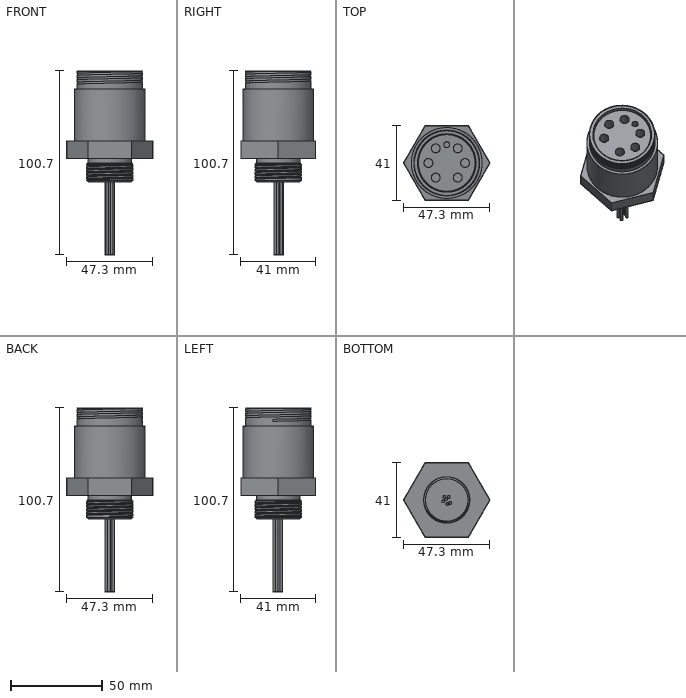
import cadquery as cq
import math

total_height = 100.7
collar_base = 90.8
hex_top = 62.4
hex_base = 52.8
thread_top = 50.5
stem_base = 39.9

collar_dia = 36.0
body_dia = 38.8
hex_across_corners = 47.3
neck_dia = 23.9
thread_dia = 25.3
thread_top_chamfer = (thread_dia - neck_dia) / 2
thread_end_chamfer = 1.0

bore_dia = 32.0
insert_dia = 31.0
face_depth = 1.6
gap_floor = collar_base
contact_dia = 4.8
key_dia = 3.2
hole_depth = 10.1
contact_circle_radius = 10.02
contact_side_angle = 53.0
key_angle = 90.0

collar_pitch = 2.4
collar_groove_width = 1.1
collar_groove_depth = 0.3
collar_groove_start = 94.0
collar_groove_start_angle = 171.0
stem_pitch = 1.8
stem_groove_width = 0.9
stem_groove_depth = 0.6
stem_groove_start = 41.0
stem_groove_start_angle = 90.0
cutter_overlap = 0.2

wire_dia = 1.5
wire_embed = 1.0
wire_positions = [
    (-1.96, 0.76), (-1.4, -1.66), (1.1, -1.66),
    (1.96, 1.6), (0.4, 2.2), (-0.4, -0.4),
]


def cylinder(diameter, bottom, top, center=(0, 0)):
    """Upright cylinder between two levels."""
    return cq.Workplane("XY", origin=(*center, bottom)).circle(diameter / 2).extrude(top - bottom)


def helical_cutter(section, radius, pitch, turns, start, start_angle):
    """Right-handed sweep of a closed (outward, up) section, starting at a given level and angle."""
    path = cq.Wire.makeHelix(pitch, pitch * turns, radius)
    cutter = (
        cq.Workplane("XZ", origin=(radius, 0, 0))
        .polyline(section).close()
        .sweep(cq.Workplane(path), isFrenet=True)
    )
    return cutter.rotate((0, 0, 0), (0, 0, 1), start_angle).translate((0, 0, start))


def make_collar():
    half = collar_groove_width / 2
    section = [
        (-collar_groove_depth, -half), (cutter_overlap, -half),
        (cutter_overlap, half), (-collar_groove_depth, half),
    ]
    turns = math.ceil((total_height - collar_groove_start) / collar_pitch)
    rod_top = collar_groove_start + (turns + 1) * collar_pitch
    rod = cylinder(collar_dia, collar_base, rod_top).cut(helical_cutter(
        section, collar_dia / 2, collar_pitch, turns, collar_groove_start, collar_groove_start_angle))
    return rod.intersect(cylinder(body_dia, collar_base, total_height))


def make_housing():
    hexagon = (
        cq.Workplane("XY", origin=(0, 0, hex_base))
        .polygon(6, hex_across_corners).extrude(hex_top - hex_base)
    )
    stem = (
        cylinder(thread_dia, stem_base, thread_top)
        .faces("<Z").chamfer(thread_end_chamfer)
        .faces(">Z").chamfer(thread_top_chamfer)
    )
    return (
        hexagon
        .union(cylinder(body_dia, hex_top, collar_base))
        .union(make_collar())
        .union(cylinder(neck_dia, thread_top, hex_base))
        .union(stem)
    )


def cut_socket(part):
    face_level = total_height - face_depth
    part = part.cut(cylinder(bore_dia, face_level, total_height))
    part = part.cut(cylinder(bore_dia, gap_floor, face_level).cut(cylinder(insert_dia, gap_floor, face_level)))
    side = contact_side_angle
    holes = [(angle, contact_dia) for angle in (0, side, 180 - side, 180, 180 + side, -side)]
    holes.append((key_angle, key_dia))
    for angle, diameter in holes:
        x = contact_circle_radius * math.cos(math.radians(angle))
        y = contact_circle_radius * math.sin(math.radians(angle))
        part = part.cut(cylinder(diameter, face_level - hole_depth, face_level, (x, y)))
    return part


def cut_stem_groove(part):
    half = stem_groove_width / 2 * (1 + cutter_overlap / stem_groove_depth)
    section = [(-stem_groove_depth, 0), (cutter_overlap, -half), (cutter_overlap, half)]
    turns = (thread_top - stem_groove_start) / stem_pitch
    return part.cut(helical_cutter(
        section, thread_dia / 2, stem_pitch, turns, stem_groove_start, stem_groove_start_angle))


def add_wires(part):
    for position in wire_positions:
        part = part.union(cylinder(wire_dia, 0, stem_base + wire_embed, position))
    return part


result = make_housing()
result = cut_socket(result)
result = cut_stem_groove(result)
result = add_wires(result)